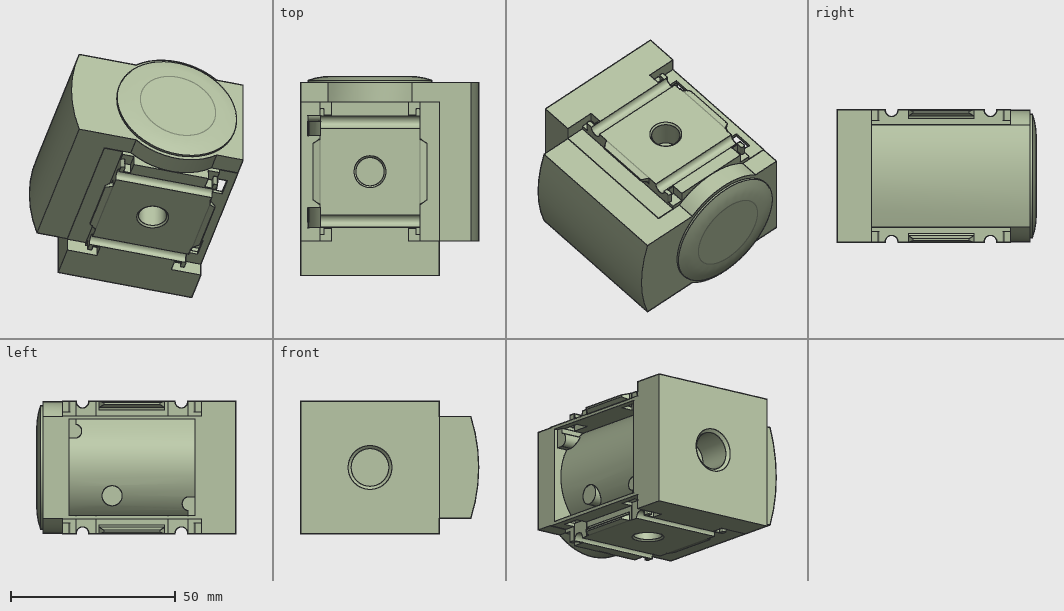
import cadquery as cq

body_width = 42.05
body_height = 40.2
total_width = 54.0
total_length = 60.4
half_height = body_height / 2
center_x = body_width / 2

front_plate_end = 10.45
back_plate_start = 52.55
back_plate_end = 58.5
center_y = (front_plate_end + back_plate_start) / 2

frame_half_height = 15.65
window_half_height = 14.6
window_length = 38.1
barrel_radius = 18.6

back_half_height = 15.45
back_bulge_radius = 20.0
cap_rim_end = 59.2
cap_radius = 18.8
cap_flat_radius = 11.85

side_block_edge = 51.6

pad_width = 30.45
pad_left = center_x - pad_width / 2
groove_radius = 1.9
groove_offset = 15.0
groove_axis_height = 19.95

notch_width = 3.5
notch_length = 3.8
notch_floor = 16.8
hook_width = 1.3
hook_length = 1.9
hook_rounding = 0.35

tongue_length = 19.9
tongue_reach = 2.05
tongue_end_slope = 1.4
tongue_root_low = 18.1
tongue_tip_low = 19.0
tongue_tip_high = 19.6
root_strip_low = 17.4
root_strip_reach = 0.3

opening_left = 2.2
opening_width = 3.85
opening_length = 6.05
opening_offset = 13.95

pin_diameter = 6.1
pin_face_x = 3.0
pin_y = 37.5
pin_z = -8.6
corner_pin_radius = 2.1
corner_pin_face_x = 1.2
corner_pin_offset = 17.35
corner_pin_height = 11.0
corner_web_offset = 17.05

front_port_diameter = 11.4
front_port_rim = 13.3
front_port_depth = 12.1
pad_port_diameter = 8.6
pad_port_rim = 9.65
pad_port_depth = 9.05


def block(x_range, y_range, z_range):
    """Box between two limits along each axis."""
    sizes = [high - low for low, high in (x_range, y_range, z_range)]
    corner = (x_range[0], y_range[0], z_range[0])
    return cq.Workplane("XY").box(*sizes, centered=False).translate(corner)


def rod_along_y(radius, z, y_start, y_end):
    """Round bar on the part's middle X, running along +Y."""
    bar = cq.Workplane("XZ", origin=(center_x, y_start, z)).circle(radius)
    return bar.extrude(y_start - y_end)


def rod_along_x(radius, y, z, x_start, x_end):
    """Round bar running along +X."""
    return cq.Workplane("YZ", origin=(x_start, y, z)).circle(radius).extrude(x_end - x_start)


def port(plane, diameter, rim_diameter, depth):
    """Blind hole with a 45 degree countersunk rim, going against the plane's normal."""
    countersink = (rim_diameter - diameter) / 2
    profile = (
        cq.Workplane("XZ")
        .polyline([
            (0, 0),
            (rim_diameter / 2, 0),
            (diameter / 2, -countersink),
            (diameter / 2, -depth),
            (0, -depth),
        ])
        .close()
        .revolve(360, (0, 0, 0), (0, 1, 0))
    )
    return cq.Workplane(obj=profile.val().located(plane.location))


def mirrored_z(shape):
    return shape.mirror("XY")


def mirrored_x(shape):
    return shape.mirror("YZ", (center_x, 0, 0))


def mirrored_y(shape):
    return shape.mirror("XZ", (0, center_y, 0))


def make_back_plate():
    across = (0, body_width)
    plate = block(across, (back_plate_start, back_plate_end), (-back_half_height, back_half_height))
    return plate.union(rod_along_y(back_bulge_radius, 0, back_plate_start, back_plate_end))


def make_cap():
    """Disc on the back with a flat middle and a border that curves down to a short rim."""
    return (
        cq.Workplane("XY")
        .moveTo(0, back_plate_end)
        .lineTo(0, total_length)
        .lineTo(cap_flat_radius, total_length)
        .tangentArcPoint((cap_radius, cap_rim_end), relative=False)
        .lineTo(cap_radius, back_plate_end)
        .close()
        .revolve(360, (0, 0, 0), (0, 1, 0))
        .translate((center_x, 0, 0))
    )


def make_side_block():
    """Block on the +X side, rounded on its outer end."""
    return (
        cq.Workplane("XZ", origin=(0, front_plate_end, 0))
        .moveTo(body_width, -back_half_height)
        .lineTo(side_block_edge, -back_half_height)
        .threePointArc((total_width, 0), (side_block_edge, back_half_height))
        .lineTo(body_width, back_half_height)
        .close()
        .extrude(front_plate_end - back_plate_end)
    )


def make_window():
    """Cavity around the barrel and its pins, open to -X."""
    y_start = center_y - window_length / 2
    y_end = center_y + window_length / 2
    z_range = (-window_half_height, window_half_height)
    window = block((0, center_x), (y_start, y_end), z_range)
    window = window.cut(rod_along_y(barrel_radius, 0, y_start, y_end))
    window = window.cut(rod_along_x(pin_diameter / 2, pin_y, pin_z, pin_face_x, center_x))

    pin = rod_along_x(
        corner_pin_radius, center_y + corner_pin_offset, corner_pin_height, corner_pin_face_x, center_x
    )
    web = block(
        (corner_pin_face_x, center_x),
        (center_y + corner_web_offset, y_end),
        (corner_pin_height - corner_pin_radius, window_half_height),
    )
    upper_pin = pin.union(web)
    lower_pin = mirrored_y(mirrored_z(upper_pin))
    return window.cut(upper_pin).cut(lower_pin)


def make_opening():
    """Rectangular opening from the outside into the window, through the frame and the pad edge."""
    middle = center_y + opening_offset
    return block(
        (opening_left, opening_left + opening_width),
        (middle - opening_length / 2, middle + opening_length / 2),
        (window_half_height, half_height),
    )


def make_notch():
    """Pocket in the corner of the pad, leaving a small rounded hook on the outer edge."""
    notch_start = back_plate_start - notch_length
    heights = (notch_floor, half_height)
    pocket = block((pad_left, pad_left + notch_width), (notch_start, back_plate_start), heights)
    hook = block((pad_left, pad_left + hook_width), (notch_start, notch_start + hook_length), heights)
    hook = hook.edges("|Z and >Y").fillet(hook_rounding)
    return pocket.cut(hook)


def make_tongue():
    """Tapered rib on the side of the pad, with sloped ends and a narrow strip under its root."""
    root_half = tongue_length / 2
    tip_half = root_half - tongue_end_slope
    root_middle = (tongue_root_low + half_height) / 2
    tip_middle = (tongue_tip_low + tongue_tip_high) / 2
    rib = (
        cq.Workplane("YZ", origin=(pad_left, center_y, root_middle))
        .rect(2 * root_half, half_height - tongue_root_low)
        .workplane(offset=-tongue_reach)
        .center(0, tip_middle - root_middle)
        .rect(2 * tip_half, tongue_tip_high - tongue_tip_low)
        .loft(ruled=True)
    )
    strip = (
        cq.Workplane("XZ", origin=(0, center_y - root_half, 0))
        .polyline([
            (pad_left, root_strip_low),
            (pad_left, tongue_root_low),
            (pad_left - root_strip_reach, tongue_root_low),
        ])
        .close()
        .extrude(-tongue_length)
    )
    return rib.union(strip)


def make_pad():
    """Raised pad on the top, with two cross grooves, corner notches and side tongues."""
    pad = block(
        (pad_left, pad_left + pad_width), (front_plate_end, back_plate_start), (0, half_height)
    )
    for side in (-1, 1):
        groove_y = center_y + side * groove_offset
        pad = pad.cut(rod_along_x(groove_radius, groove_y, groove_axis_height, 0, body_width))

    back_notches = make_notch().union(mirrored_x(make_notch()))
    pad = pad.cut(back_notches).cut(mirrored_y(back_notches))

    tongue = make_tongue()
    return pad.union(tongue).union(mirrored_x(tongue))


frame = block(
    (0, body_width), (front_plate_end, back_plate_start), (-frame_half_height, frame_half_height)
)
front_plate = block((0, body_width), (0, front_plate_end), (-half_height, half_height))
pad = make_pad()

result = frame.union(front_plate).union(pad).union(mirrored_z(pad))
result = result.union(make_back_plate()).union(make_cap()).union(make_side_block())
result = result.cut(make_window())

upper_openings = make_opening().union(mirrored_y(make_opening()))
result = result.cut(upper_openings).cut(mirrored_z(upper_openings))

front_face = cq.Plane(origin=(center_x, 0, 0), normal=(0, -1, 0))
top_face = cq.Plane(origin=(center_x, center_y, half_height))
pad_port = port(top_face, pad_port_diameter, pad_port_rim, pad_port_depth)
result = result.cut(port(front_face, front_port_diameter, front_port_rim, front_port_depth))
result = result.cut(pad_port).cut(mirrored_z(pad_port))